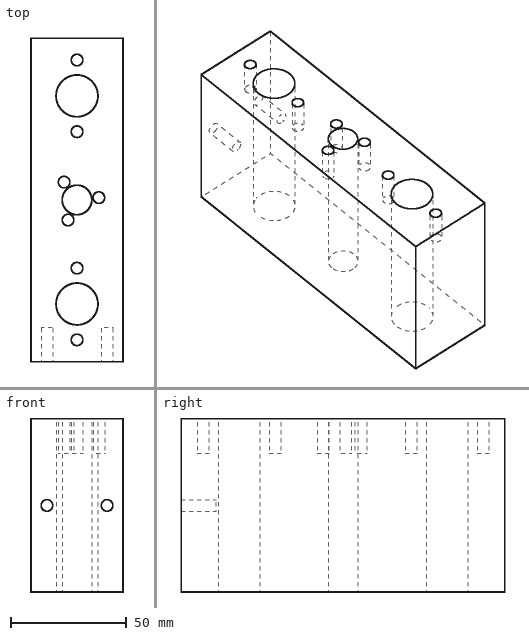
import cadquery as cq

WIDTH = 40.0
LENGTH = 140.0
HEIGHT = 75.0

SHAFT_DIAMETER = 18.0
SHAFT_OFFSET = 45.0
CENTRE_BORE_DIAMETER = 12.7

SCREW_DIAMETER = 5.0
SCREW_DEPTH = 15.0
SHAFT_SCREW_OFFSET = 15.5
CENTRE_SCREW_RADIUS = 9.5
CENTRE_SCREW_COUNT = 3
FULL_TURN = 360.0
CENTRE_SCREW_ANGLE = 6.0
END_SCREW_SPACING = 26.0


def make_block():
    return cq.Workplane("XY").box(WIDTH, LENGTH, HEIGHT)


def cut_bores(body):
    """Cut the centre bore and the two shaft bores."""
    body = body.faces(">Z").workplane(origin=(0, 0, 0)).hole(CENTRE_BORE_DIAMETER)
    shaft_centres = [(0, -SHAFT_OFFSET), (0, SHAFT_OFFSET)]
    return body.faces(">Z").workplane(origin=(0, 0, 0)).pushPoints(shaft_centres).hole(SHAFT_DIAMETER)


def cut_shaft_screws(body):
    """Cut a pair of screw holes beside each shaft bore."""
    points = []
    for bore_side in (-1, 1):
        for screw_side in (-1, 1):
            points.append((0, bore_side * SHAFT_OFFSET + screw_side * SHAFT_SCREW_OFFSET))
    top = body.faces(">Z").workplane(origin=(0, 0, 0))
    return top.pushPoints(points).hole(SCREW_DIAMETER, SCREW_DEPTH)


def cut_centre_screws(body):
    """Cut the screw circle around the centre bore."""
    top = body.faces(">Z").workplane(origin=(0, 0, 0))
    circle = top.polarArray(CENTRE_SCREW_RADIUS, CENTRE_SCREW_ANGLE, FULL_TURN, CENTRE_SCREW_COUNT)
    return circle.hole(SCREW_DIAMETER, SCREW_DEPTH)


def cut_end_screws(body):
    """Cut two screw holes into the -Y end, at mid height."""
    points = [(-END_SCREW_SPACING / 2, 0), (END_SCREW_SPACING / 2, 0)]
    end = body.faces("<Y").workplane(origin=(0, 0, 0))
    return end.pushPoints(points).hole(SCREW_DIAMETER, SCREW_DEPTH)


result = make_block()
result = cut_bores(result)
result = cut_shaft_screws(result)
result = cut_centre_screws(result)
result = cut_end_screws(result)